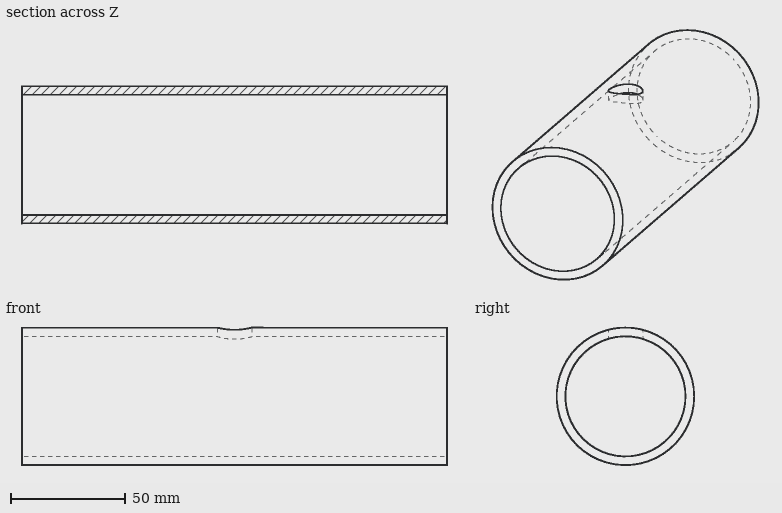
import cadquery as cq

length = 186.0
outer_diameter = 60.3
wall = 3.9
inner_diameter = outer_diameter - 2 * wall

hole_diameter = 15.0

tube = (
    cq.Workplane("YZ", origin=(-length / 2, 0, 0))
    .circle(outer_diameter / 2)
    .circle(inner_diameter / 2)
    .extrude(length)
)

hole_cutter = cq.Workplane("XY").circle(hole_diameter / 2).extrude(outer_diameter)

result = tube.cut(hole_cutter)